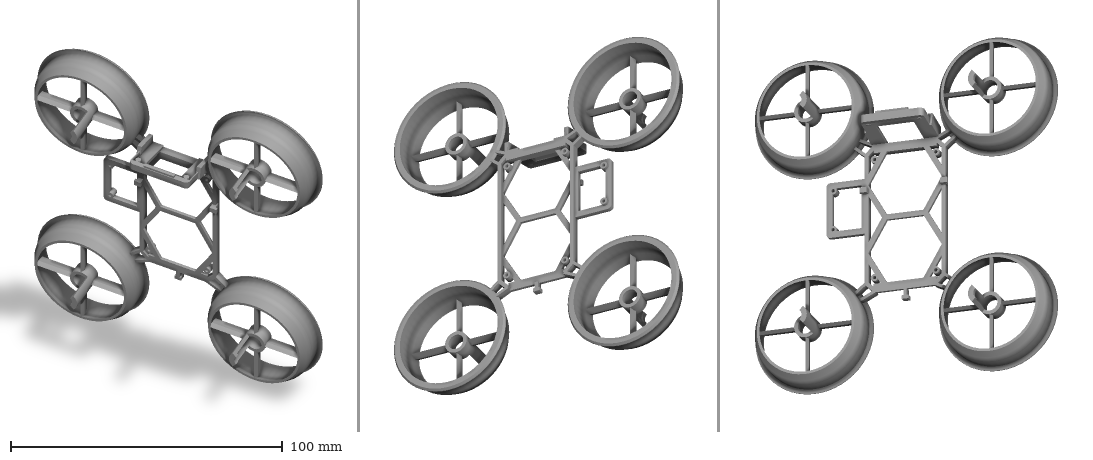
import cadquery as cq
import math


LENGTH = 131.0
WIDTH = 117.7
LIP_RADIUS = 23.0
DUCT_X = WIDTH / 2 - LIP_RADIUS
DUCT_Z = LENGTH / 2 - LIP_RADIUS
LIP_BACK_RADIUS = 22.4
LIP_DEPTH = 1.2
LIP_EDGE = 0.3
LIP_HOLLOW_RADIUS = 22.0
LIP_HOLLOW_DEPTH = 0.7
DUCT_RADIUS = 21.2
DUCT_WALL = 1.0
DUCT_DEPTH = 11.4
STRAIGHT_DEPTH = 6.5
ROUND_DEPTH = 8.9
SHOULDER_RADIUS = 20.4
NOSE_RADIUS = 19.0

HUB_RADIUS = 4.5
HUB_BORE_RADIUS = 3.0
HUB_BACK_DEPTH = 5.9
SPOKE_BACK_DEPTH = 6.3
SPOKE_WIDE_DEPTH = 9.5
SPOKE_WIDTH = 1.5
SHELL_TIP_DEPTH = 22.9
SHELL_HALF_ANGLE = 49.0
SHELL_LIP = 1.7
SHELL_LIP_BORE_RADIUS = 2.4

RAIL_DEPTH = 3.0
BAR_BACK_DEPTH = 1.8
BAR_DEPTH = RAIL_DEPTH - BAR_BACK_DEPTH
FRAME_HALF_WIDTH = 15.7
RAIL_WIDTH = 1.5
HEX_RADIUS = FRAME_HALF_WIDTH - RAIL_WIDTH
HEX_APOTHEM = HEX_RADIUS * math.cos(math.radians(30))
HEX_BAR = 2.1
HEX_Z = HEX_APOTHEM + HEX_BAR / 2
END_BAR_HEIGHT = 3.4
END_BAR_INNER_Z = HEX_Z + HEX_APOTHEM
FRAME_HALF_HEIGHT = END_BAR_INNER_Z + END_BAR_HEIGHT
CORNER_CUT = 3.5
BRACE_WIDTH = 1.6
ARM_WIDTH = 1.2
ARM_END_RADIUS = DUCT_RADIUS - DUCT_WALL / 2
RAIL_ARM_ANGLE = -40.0
BAR_ARM_ANGLE = -31.0

BOSS_RADIUS = 1.5
BOSS_HOLE_RADIUS = 0.7
FRAME_BOSS_X = 11.9
FRAME_BOSS_Z = 23.3

SIDE_LEFT_X = -30.6
SIDE_TOP_Z = 16.1
SIDE_BOTTOM_Z = -5.5
SIDE_BAR = 2.4
SIDE_INNER_X = -16.9
SIDE_CORNER = 1.6
SIDE_BACK_DEPTH = 1.2
SIDE_BOSS_X = -28.0
SIDE_BOSS_INSET = 3.1

HOOK_Z = 11.0
HOOK_HEIGHT = 2.1
HOOK_DEPTH = 5.2
HOOK_LIP_DEPTH = 4.0
HOOK_X = 16.2
HOOK_LIP_X = 17.0

TIE_STEM_WIDTH = 1.3
TIE_HEAD_WIDTH = 2.6
TIE_HEAD_HEIGHT = 1.5
TIE_LENGTH = 3.9
TIE_BACK_DEPTH = 0.5

TRAY_TILT = 12.0
TRAY_HALF_WIDTH = 12.3
TRAY_FLOOR = 1.5
TRAY_RIM_HEIGHT = 3.0
TRAY_RIM_WIDTH = 0.5
TRAY_FRONT_DEPTH = 18.7
FRONT_WALL = 2.0
TRAY_CORNER = 1.8
WINDOW_HALF_WIDTH = 7.3
WINDOW_DEPTH = 14.3
FRONT_TAB_WIDTH = 12.6
FRONT_TAB_HEIGHT = 0.9
FRONT_TAB_DEPTH = 1.2
FRONT_TAB_SETBACK = 0.3
PIN_X = 10.0
PIN_DEPTH = 15.5
PIN_RADIUS = 1.0
PIN_HEIGHT = 1.6
EAR_OUTER_X = 13.1
EAR_INNER_X = 11.4
EAR_HEIGHT = 5.2
EAR_DEPTH = 11.0
EAR_BACK_DEPTH = 0.5


def face_plane(depth):
    """Plane facing -Y at the given depth; local x is X and local y is Z."""
    return cq.Workplane("XZ", origin=(0, -depth, 0))


def block(x0, x1, z0, z1, back, front):
    """Box between two X positions, two Z positions and two depths."""
    body = cq.Workplane("XY").box(x1 - x0, front - back, z1 - z0, centered=False)
    return body.translate((x0, -front, z0))


def beam(start, end, width):
    """Straight bar of full rail depth from one (x, z) point to another."""
    dx = end[0] - start[0]
    dz = end[1] - start[1]
    bar = face_plane(0).rect(math.hypot(dx, dz), width).extrude(RAIL_DEPTH)
    bar = bar.rotate((0, 0, 0), (0, -1, 0), math.degrees(math.atan2(dz, dx)))
    return bar.translate(((start[0] + end[0]) / 2, 0, (start[1] + end[1]) / 2))


def mirrored_x(body):
    return body.union(body.mirror("YZ"))


def mirrored_xz(body):
    half = mirrored_x(body)
    return half.union(half.mirror("XY"))


def duct_ring():
    shoulder_mid_depth = (STRAIGHT_DEPTH + ROUND_DEPTH) / 2
    sag = (DUCT_RADIUS - SHOULDER_RADIUS) / 4
    return (
        cq.Workplane("XY")
        .moveTo(DUCT_RADIUS - DUCT_WALL, 0)
        .lineTo(LIP_BACK_RADIUS, 0)
        .lineTo(LIP_RADIUS, LIP_EDGE - LIP_DEPTH)
        .lineTo(LIP_RADIUS, -LIP_DEPTH)
        .threePointArc((LIP_HOLLOW_RADIUS, -LIP_HOLLOW_DEPTH), (DUCT_RADIUS, -LIP_DEPTH))
        .lineTo(DUCT_RADIUS, -STRAIGHT_DEPTH)
        .threePointArc((DUCT_RADIUS - sag, -shoulder_mid_depth), (SHOULDER_RADIUS, -ROUND_DEPTH))
        .lineTo(NOSE_RADIUS, -DUCT_DEPTH)
        .lineTo(NOSE_RADIUS - DUCT_WALL, -DUCT_DEPTH)
        .lineTo(SHOULDER_RADIUS - DUCT_WALL, -ROUND_DEPTH)
        .threePointArc(
            (DUCT_RADIUS - DUCT_WALL - sag, -shoulder_mid_depth),
            (DUCT_RADIUS - DUCT_WALL, -STRAIGHT_DEPTH),
        )
        .close()
        .revolve(360, (0, 0, 0), (0, 1, 0))
    )


def spokes():
    reach = NOSE_RADIUS - DUCT_WALL / 2
    spoke = (
        cq.Workplane("XY", origin=(0, 0, -reach))
        .polyline([
            (0, -SPOKE_BACK_DEPTH),
            (SPOKE_WIDTH / 2, -SPOKE_WIDE_DEPTH),
            (0, -DUCT_DEPTH),
            (-SPOKE_WIDTH / 2, -SPOKE_WIDE_DEPTH),
        ])
        .close()
        .extrude(2 * reach)
    )
    return spoke.union(spoke.rotate((0, 0, 0), (0, 1, 0), 90))


def shell_sector(bore_radius, back, front):
    """Part of a tube wall, centred on +X."""
    span = HUB_RADIUS * 2
    wedge_half_height = span * math.tan(math.radians(SHELL_HALF_ANGLE))
    tube = face_plane(back).circle(HUB_RADIUS).circle(bore_radius).extrude(front - back)
    wedge = (
        face_plane(back)
        .polyline([(0, 0), (span, -wedge_half_height), (span, wedge_half_height)])
        .close()
        .extrude(front - back)
    )
    return tube.intersect(wedge)


def duct():
    """Duct with spokes, hub and motor shell, centred on the origin; the shell lies toward +X."""
    hub = face_plane(HUB_BACK_DEPTH).circle(HUB_RADIUS).extrude(DUCT_DEPTH - HUB_BACK_DEPTH)
    bore = face_plane(HUB_BACK_DEPTH).circle(HUB_BORE_RADIUS).extrude(DUCT_DEPTH - HUB_BACK_DEPTH)
    body = duct_ring().union(spokes()).union(hub).cut(bore)
    body = body.union(shell_sector(HUB_BORE_RADIUS, HUB_BACK_DEPTH, SHELL_TIP_DEPTH))
    return body.union(shell_sector(SHELL_LIP_BORE_RADIUS, SHELL_TIP_DEPTH - SHELL_LIP, SHELL_TIP_DEPTH))


def corner_links():
    """Brace across the upper left frame corner and the two arms that reach the duct."""
    inset = BRACE_WIDTH / 2 / math.sqrt(2)
    rail_node = (-FRAME_HALF_WIDTH + inset, FRAME_HALF_HEIGHT - CORNER_CUT - inset)
    bar_node = (-FRAME_HALF_WIDTH + CORNER_CUT + inset, FRAME_HALF_HEIGHT - inset)
    links = beam(rail_node, bar_node, BRACE_WIDTH)
    links = links.union(beam(rail_node, arm_end(RAIL_ARM_ANGLE), ARM_WIDTH))
    return links.union(beam(bar_node, arm_end(BAR_ARM_ANGLE), ARM_WIDTH))


def arm_end(angle):
    """Point in the wall of the upper left duct at an angle from +X."""
    turn = math.radians(angle)
    return (-DUCT_X + ARM_END_RADIUS * math.cos(turn), DUCT_Z + ARM_END_RADIUS * math.sin(turn))


def hex_ring():
    outer = 2 * (HEX_APOTHEM + HEX_BAR) / math.cos(math.radians(30))
    ring = (
        face_plane(BAR_BACK_DEPTH)
        .center(0, HEX_Z)
        .polygon(6, outer)
        .polygon(6, 2 * HEX_RADIUS)
        .extrude(BAR_DEPTH)
    )
    limit = block(-FRAME_HALF_WIDTH, FRAME_HALF_WIDTH, 0, FRAME_HALF_HEIGHT, 0, RAIL_DEPTH)
    return ring.intersect(limit)


def main_frame():
    rail_half = FRAME_HALF_HEIGHT - CORNER_CUT
    bar_half = FRAME_HALF_WIDTH - CORNER_CUT
    rail = block(-FRAME_HALF_WIDTH, -HEX_RADIUS, -rail_half, rail_half, 0, RAIL_DEPTH)
    top_bar = block(-bar_half, bar_half, END_BAR_INNER_Z, FRAME_HALF_HEIGHT, 0, RAIL_DEPTH)
    bottom_bar = block(-bar_half, bar_half, -FRAME_HALF_HEIGHT, -END_BAR_INNER_Z, BAR_BACK_DEPTH, RAIL_DEPTH)
    rings = hex_ring()
    rings = rings.union(rings.mirror("XY"))
    bars = top_bar.union(bottom_bar).union(rings)
    return mirrored_x(rail).union(bars).union(mirrored_xz(corner_links()))


def side_frame():
    outer = block(SIDE_LEFT_X, -FRAME_HALF_WIDTH, SIDE_BOTTOM_Z, SIDE_TOP_Z, SIDE_BACK_DEPTH, RAIL_DEPTH)
    outer = outer.edges("|Y and <X").fillet(SIDE_CORNER)
    opening = block(
        SIDE_LEFT_X + SIDE_BAR, SIDE_INNER_X,
        SIDE_BOTTOM_Z + SIDE_BAR, SIDE_TOP_Z - SIDE_BAR,
        0, RAIL_DEPTH,
    )
    return outer.cut(opening)


def hook():
    """Hook on the +X rail; its lip turns outward."""
    z0 = HOOK_Z - HOOK_HEIGHT / 2
    z1 = HOOK_Z + HOOK_HEIGHT / 2
    post = block(HEX_RADIUS, HOOK_X, z0, z1, BAR_BACK_DEPTH, HOOK_DEPTH)
    return post.union(block(HOOK_X, HOOK_LIP_X, z0, z1, HOOK_LIP_DEPTH, HOOK_DEPTH))


def tie():
    end_z = -FRAME_HALF_HEIGHT - TIE_LENGTH
    head_z = end_z + TIE_HEAD_HEIGHT
    half_stem = TIE_STEM_WIDTH / 2
    half_head = TIE_HEAD_WIDTH / 2
    stem = block(-half_stem, half_stem, end_z, -FRAME_HALF_HEIGHT, TIE_BACK_DEPTH, RAIL_DEPTH)
    head = block(-half_head, half_head, end_z, head_z, TIE_BACK_DEPTH, RAIL_DEPTH)
    return stem.union(head)


def tray_floor_z(depth):
    """Height of the sloping tray underside."""
    return FRAME_HALF_HEIGHT + (depth - RAIL_DEPTH) * math.tan(math.radians(TRAY_TILT))


def sloped_slab(x0, x1, back, front, height, lean=0):
    """Slab standing on the tray underside; its top front edge is set back by the lean."""
    return (
        cq.Workplane("YZ", origin=(x0, 0, 0))
        .polyline([
            (-back, tray_floor_z(back)),
            (-front, tray_floor_z(front)),
            (lean - front, tray_floor_z(front - lean) + height),
            (-back, tray_floor_z(back) + height),
        ])
        .close()
        .extrude(x1 - x0)
    )


def tray_floor():
    wall_back = TRAY_FRONT_DEPTH - FRONT_WALL
    inner_half = TRAY_HALF_WIDTH - TRAY_RIM_WIDTH
    floor = sloped_slab(-TRAY_HALF_WIDTH, TRAY_HALF_WIDTH, 0, wall_back, TRAY_FLOOR)
    window = sloped_slab(-WINDOW_HALF_WIDTH, WINDOW_HALF_WIDTH, 0, WINDOW_DEPTH, TRAY_FLOOR)
    rim = sloped_slab(inner_half, TRAY_HALF_WIDTH, 0, wall_back, TRAY_RIM_HEIGHT)
    return floor.cut(window).union(mirrored_x(rim))


def tray_front_wall():
    """Upright wall with rounded corners and a raised tab at the front of the tray."""
    wall_back = TRAY_FRONT_DEPTH - FRONT_WALL
    wall_z = tray_floor_z(wall_back)
    wall_top = wall_z + TRAY_RIM_HEIGHT
    tab_front = TRAY_FRONT_DEPTH - FRONT_TAB_SETBACK
    half_tab = FRONT_TAB_WIDTH / 2
    wall = block(-TRAY_HALF_WIDTH, TRAY_HALF_WIDTH, wall_z, wall_top, wall_back, TRAY_FRONT_DEPTH)
    tab = block(
        -half_tab, half_tab, wall_top, wall_top + FRONT_TAB_HEIGHT,
        tab_front - FRONT_TAB_DEPTH, tab_front,
    )
    return wall.edges("|Z and <Y").fillet(TRAY_CORNER).union(tab)


def camera_tray():
    pin = (
        cq.Workplane("XY", origin=(PIN_X, -PIN_DEPTH, tray_floor_z(PIN_DEPTH)))
        .circle(PIN_RADIUS)
        .extrude(TRAY_FLOOR + PIN_HEIGHT)
    )
    ear_lean = EAR_HEIGHT * math.sin(math.radians(TRAY_TILT))
    ear = sloped_slab(EAR_INNER_X, EAR_OUTER_X, EAR_BACK_DEPTH, EAR_DEPTH, EAR_HEIGHT, ear_lean)
    return tray_floor().union(tray_front_wall()).union(mirrored_x(pin.union(ear)))


def add_bosses(body, centres):
    for x, z in centres:
        boss = face_plane(0).center(x, z).circle(BOSS_RADIUS).extrude(RAIL_DEPTH)
        hole = face_plane(0).center(x, z).circle(BOSS_HOLE_RADIUS).extrude(RAIL_DEPTH)
        body = body.union(boss).cut(hole)
    return body


boss_centres = [(sx * FRAME_BOSS_X, sz * FRAME_BOSS_Z) for sx in (-1, 1) for sz in (-1, 1)]
boss_centres += [
    (SIDE_BOSS_X, SIDE_BOTTOM_Z + SIDE_BOSS_INSET),
    (SIDE_BOSS_X, SIDE_TOP_Z - SIDE_BOSS_INSET),
]

frame = main_frame().union(side_frame()).union(mirrored_x(hook())).union(tie()).union(camera_tray())
frame = add_bosses(frame, boss_centres)
result = frame.union(mirrored_xz(duct().translate((-DUCT_X, 0, DUCT_Z))))